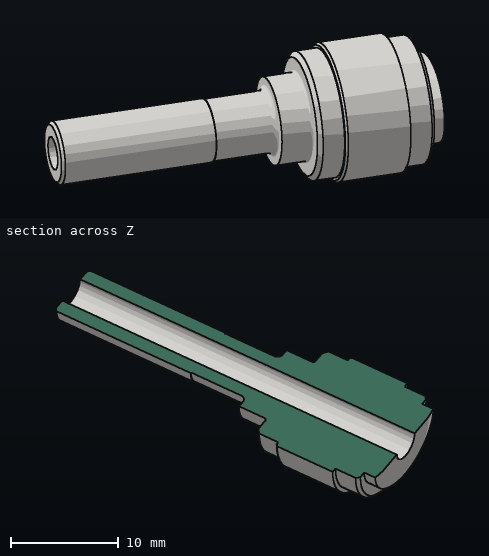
import cadquery as cq
overall_length = 36.7
head_start = 1.37
sleeve_start = 3.9
sleeve_end = 10.2
head_end = 12.68
neck_end = 15.7
plug_start = 21.7

bore_radius = 1.55
head_radius = 6.12
sleeve_radius = 6.6
neck_radius = 4.2
stem_radius = 2.95
plug_radius = 3.03

collet_half_width = 5.12
collet_half_height = 4.03
crown_radius = collet_half_height
crown_drop = 0.16

head_back_chamfer = 0.32
head_front_chamfer_length = 0.4
head_front_chamfer_depth = 0.52
sleeve_chamfer = 0.22
neck_root_radius = 0.2
stem_root_radius = 0.5
tip_chamfer = 0.3


def concave_arc(profile, root_radius, cylinder_radius, face_station):
    """Add a quarter-round root from a flat face down to the next cylinder."""
    diagonal = root_radius * (1 - 0.5 ** 0.5)
    middle = (cylinder_radius + diagonal, -face_station - diagonal)
    end = (cylinder_radius, -face_station - root_radius)
    return profile.threePointArc(middle, end)


def turned_body():
    """Head, sleeve, neck and stem turned about the Y axis, as (radius, Y)."""
    profile = (
        cq.Workplane("XY")
        .moveTo(0, -head_start)
        .lineTo(head_radius - head_back_chamfer, -head_start)
        .lineTo(head_radius, -head_start - head_back_chamfer)
        .lineTo(head_radius, -sleeve_start)
        .lineTo(sleeve_radius, -sleeve_start)
        .lineTo(sleeve_radius, -sleeve_end + sleeve_chamfer)
        .lineTo(sleeve_radius - sleeve_chamfer, -sleeve_end)
        .lineTo(head_radius, -sleeve_end)
        .lineTo(head_radius, -head_end + head_front_chamfer_length)
        .lineTo(head_radius - head_front_chamfer_depth, -head_end)
        .lineTo(neck_radius + neck_root_radius, -head_end)
    )
    profile = concave_arc(profile, neck_root_radius, neck_radius, head_end)
    profile = (
        profile.lineTo(neck_radius, -neck_end)
        .lineTo(stem_radius + stem_root_radius, -neck_end)
    )
    profile = concave_arc(profile, stem_root_radius, stem_radius, neck_end)
    profile = (
        profile.lineTo(stem_radius, -plug_start)
        .lineTo(plug_radius, -plug_start)
        .lineTo(plug_radius, -overall_length + tip_chamfer)
        .lineTo(plug_radius - tip_chamfer, -overall_length)
        .lineTo(0, -overall_length)
        .close()
    )
    return profile.revolve(360, (0, 0, 0), (0, 1, 0))


def release_collet():
    """Elliptical collar behind the head, trimmed by a shallow conical crown."""
    collar = (
        cq.Workplane("XZ")
        .ellipse(collet_half_width, collet_half_height)
        .extrude(head_start)
    )
    crown = (
        cq.Workplane("XY")
        .lineTo(crown_radius, 0)
        .lineTo(collet_half_width, -crown_drop)
        .lineTo(collet_half_width, -head_start)
        .lineTo(0, -head_start)
        .close()
        .revolve(360, (0, 0, 0), (0, 1, 0))
    )
    return collar.intersect(crown)


def through_bore():
    return cq.Workplane("XZ").circle(bore_radius).extrude(overall_length)


result = turned_body().union(release_collet()).cut(through_bore())